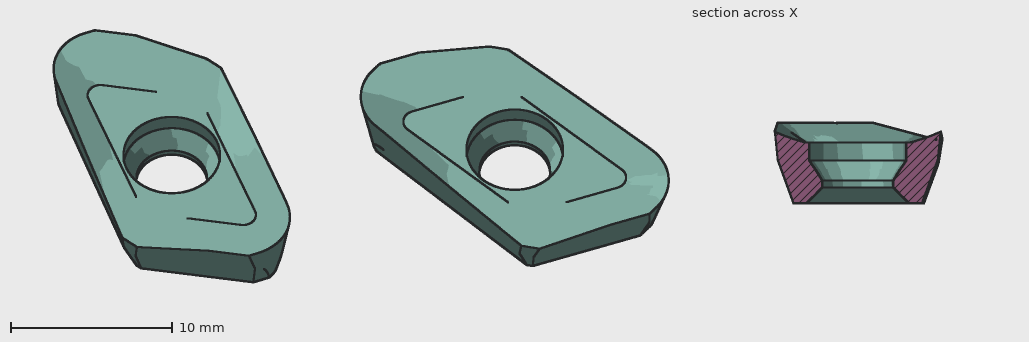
import cadquery as cq
import math

HEIGHT = 5.0

RELIEF = math.tan(math.radians(20))
FRONT_ANGLE = -91.3
CHAMFER_ANGLE = -60.0
SIDE_ANGLE = -30.0
END_ANGLE = 0.0
FRONT_BASE = 4.0
CHAMFER_BASE = 5.85
SIDE_BASE = 6.2
END_BASE = 8.42

NOSE_TOP_X, NOSE_TOP_Y, NOSE_TOP_R = 7.0, 1.95, 3.0
NOSE_BASE_X, NOSE_BASE_Y, NOSE_BASE_R = 5.95, 2.05, 2.75

HEEL_TOP = (5.38, -5.42)
HEEL_BASE = (4.15, -4.62)

FLOOR_Z = 3.78
FLOOR_HALF_WIDTH = 3.25
LOW_RIM_Z = 4.0
MIDDLE_RIM_Z = 4.35
ACUTE_RADIUS = 0.8
OBTUSE_RADIUS = 1.15
FLOOR_SIDE_DISTANCE = 4.75
RAKE_OVERSHOOT = 1.15
CUTTER_TOP = 8.0
ALIGNED_TOLERANCE = 4e-08

SIDE_END_RIM_Y, SIDE_END_FLOOR_Y = 1.32, 0.68
NOSE_START_FLOOR_Y = 1.08
NOSE_BREAK_ANGLE = 215
LONG_START_RIM_X, LONG_START_RIM_Y, LONG_START_FLOOR_X = -6.5, -5.0, -5.65
HEEL_RIM_X, HEEL_RIM_Y, HEEL_FLOOR_X = 5.15, -5.25, 2.28
HEEL_END_RIM_Y = -4.7
SIDE_LOW_RIM_Y = -3.35
SIDE_HIGH_RIM_Y, SIDE_HIGH_FLOOR_Y = -0.95, -0.85

ACUTE_START = SIDE_ANGLE + 180
OBTUSE_END = SIDE_ANGLE + 360

HOLE_RADIUS = 2.2
SEAT_RADIUS = 2.65
HEAD_RADIUS = 3.0
FLARE_HEIGHT = 0.98
SEAT_LOW_Z = 1.4
SEAT_BREAK_Z = 2.12
SEAT_TOP_Z = 2.65


def half_turn(point):
    return (-point[0], -point[1], *point[2:])


def meet(line_a, line_b):
    """Crossing point of two lines given as (normal angle, distance from the axis)."""
    a, b = math.radians(line_a[0]), math.radians(line_b[0])
    det = math.sin(b - a)
    x = (line_a[1] * math.sin(b) - line_b[1] * math.sin(a)) / det
    y = (line_b[1] * math.cos(a) - line_a[1] * math.cos(b)) / det
    return (x, y)


def lower_wire(z):
    """Straight-sided outline of the lower flanks at height z."""
    flanks = [(FRONT_ANGLE, FRONT_BASE), (CHAMFER_ANGLE, CHAMFER_BASE),
              (SIDE_ANGLE, SIDE_BASE), (END_ANGLE, END_BASE)]
    lines = [(angle, base + z * RELIEF) for angle, base in flanks]
    opposite_front = (FRONT_ANGLE + 180, lines[0][1])
    half = [meet(a, b) for a, b in zip(lines, lines[1:] + [opposite_front])]
    points = half + [half_turn(p) for p in half]
    return cq.Wire.makePolygon([cq.Vector(x, y, z) for x, y in points], close=True)


def upper_wire(z, heel, nose_x, nose_y, nose_r):
    """Outline of the upper flanks and round noses at height z."""
    end_x = nose_x + nose_r
    chamfer_run = end_x - heel[0]
    corner = (end_x, heel[1] + chamfer_run * math.tan(math.radians(90 + CHAMFER_ANGLE)))
    arc_middle = nose_r * math.sqrt(0.5)
    half = [heel, corner, (end_x, nose_y), (nose_x + arc_middle, nose_y + arc_middle),
            (nose_x, nose_y + nose_r)]
    edges = []
    for turn in (tuple, half_turn):
        p = [cq.Vector(*turn(q), z) for q in half]
        next_heel = cq.Vector(*half_turn(turn(heel)), z)
        edges.append(cq.Edge.makeLine(p[0], p[1]))
        edges.append(cq.Edge.makeLine(p[1], p[2]))
        edges.append(cq.Edge.makeThreePointArc(p[2], p[3], p[4]))
        edges.append(cq.Edge.makeLine(p[4], next_heel))
    return cq.Wire.assembleEdges(edges)


def make_body():
    lower = cq.Solid.makeLoft([lower_wire(0), lower_wire(HEIGHT)], True)
    upper = cq.Solid.makeLoft([
        upper_wire(0, HEEL_BASE, NOSE_BASE_X, NOSE_BASE_Y, NOSE_BASE_R),
        upper_wire(HEIGHT, HEEL_TOP, NOSE_TOP_X, NOSE_TOP_Y, NOSE_TOP_R),
    ], True)
    return cq.Workplane(lower).intersect(cq.Workplane(upper))


def side_rim(y, z):
    """Rim point on the inclined side flank."""
    angle = math.radians(SIDE_ANGLE)
    distance = SIDE_BASE + z * RELIEF
    return ((distance - y * math.sin(angle)) / math.cos(angle), y, z)


def nose_rim(degrees):
    angle = math.radians(degrees)
    return (-NOSE_TOP_X + NOSE_TOP_R * math.cos(angle),
            -NOSE_TOP_Y + NOSE_TOP_R * math.sin(angle), HEIGHT)


def side_floor(y):
    """Point on the straight +X side of the floor outline."""
    angle = math.radians(SIDE_ANGLE)
    return ((FLOOR_SIDE_DISTANCE - y * math.sin(angle)) / math.cos(angle), y, FLOOR_Z)


def front_floor(x):
    return (x, -FLOOR_HALF_WIDTH, FLOOR_Z)


def corner_floor(side_angle, side_distance, radius, degrees):
    """Point on the rounded floor corner between the front and a side."""
    center = meet((-90, FLOOR_HALF_WIDTH - radius), (side_angle, side_distance - radius))
    angle = math.radians(degrees)
    return (center[0] + radius * math.cos(angle), center[1] + radius * math.sin(angle), FLOOR_Z)


def acute_floor(degrees):
    return corner_floor(SIDE_ANGLE + 180, FLOOR_SIDE_DISTANCE, ACUTE_RADIUS, degrees)


def obtuse_floor(degrees):
    return corner_floor(SIDE_ANGLE, FLOOR_SIDE_DISTANCE, OBTUSE_RADIUS, degrees)


def midpoint(a, b):
    return tuple((p + q) / 2 for p, q in zip(a, b))


def is_arc(points):
    if len(points) == 2:
        return False
    a, b, c = (cq.Vector(*p) for p in points)
    return (b - a).cross(c - a).Length > ALIGNED_TOLERANCE


def edge_through(points):
    """Arc through three points, or a line if there are two or they are aligned."""
    if is_arc(points):
        return cq.Edge.makeThreePointArc(*[cq.Vector(*p) for p in points])
    return cq.Edge.makeLine(cq.Vector(*points[0]), cq.Vector(*points[-1]))


def past_rim(rim, floor):
    return tuple(f + RAKE_OVERSHOOT * (r - f) for r, f in zip(rim, floor))


def rake_rulings():
    """Half of the rake faces: each is a run of (rim point, floor point) rulings."""
    side_end = (half_turn(side_rim(SIDE_END_RIM_Y, HEIGHT)), half_turn(side_floor(SIDE_END_FLOOR_Y)))
    nose_start = (nose_rim(180), half_turn(side_floor(NOSE_START_FLOOR_Y)))
    nose_break = (nose_rim(NOSE_BREAK_ANGLE), acute_floor(ACUTE_START))
    nose_end = (nose_rim(270), acute_floor(270))
    long_start = ((LONG_START_RIM_X, LONG_START_RIM_Y, HEIGHT), front_floor(LONG_START_FLOOR_X))
    heel = ((HEEL_RIM_X, HEEL_RIM_Y, LOW_RIM_Z), front_floor(HEEL_FLOOR_X))
    heel_end = (side_rim(HEEL_END_RIM_Y, LOW_RIM_Z), obtuse_floor(270))
    side_low = (side_rim(SIDE_LOW_RIM_Y, MIDDLE_RIM_Z), obtuse_floor(OBTUSE_END))
    side_high = (side_rim(SIDE_HIGH_RIM_Y, HEIGHT), side_floor(SIDE_HIGH_FLOOR_Y))
    next_end = tuple(half_turn(p) for p in side_end)

    nose_flat_middle = (nose_rim((180 + NOSE_BREAK_ANGLE) / 2), midpoint(nose_start[1], nose_break[1]))
    nose_middle = (nose_rim((NOSE_BREAK_ANGLE + 270) / 2), acute_floor((ACUTE_START + 270) / 2))
    heel_middle = (midpoint(heel_end[0], side_low[0]), obtuse_floor((270 + OBTUSE_END) / 2))
    return [
        [side_end, nose_start],
        [nose_start, nose_flat_middle, nose_break],
        [nose_break, nose_middle, nose_end],
        [nose_end, long_start],
        [long_start, heel],
        [heel, heel_end],
        [heel_end, heel_middle, side_low],
        [side_low, side_high],
        [side_high, next_end],
    ]


def make_rake_cutter():
    faces, floor_edges, roof_edges = [], [], []
    half = rake_rulings()
    turned = [[tuple(half_turn(p) for p in ruling) for ruling in run] for run in half]
    for run in half + turned:
        floor = [f for _, f in run]
        outer = [past_rim(r, f) for r, f in run]
        floor_edge, outer_edge = edge_through(floor), edge_through(outer)
        roof_edge = edge_through([(x, y, CUTTER_TOP) for x, y, _ in outer])
        faces.append(cq.Face.makeRuledSurface(floor_edge, outer_edge))
        faces.append(cq.Face.makeRuledSurface(outer_edge, roof_edge))
        floor_edges.append(floor_edge)
        roof_edges.append(roof_edge)
    for edges in (floor_edges, roof_edges):
        faces.append(cq.Face.makeFromWires(cq.Wire.assembleEdges(edges)))
    return cq.Workplane(cq.Solid.makeSolid(cq.Shell.makeShell(faces)))


def make_hole():
    wall = [(0, 0), (HOLE_RADIUS + FLARE_HEIGHT, 0), (HOLE_RADIUS, FLARE_HEIGHT),
            (HOLE_RADIUS, SEAT_LOW_Z), (SEAT_RADIUS, SEAT_BREAK_Z),
            (HEAD_RADIUS, SEAT_TOP_Z), (HEAD_RADIUS, HEIGHT), (0, HEIGHT)]
    return cq.Workplane("XZ").polyline(wall).close().revolve(360, (0, 0), (0, 1))


result = make_body().cut(make_rake_cutter()).cut(make_hole())